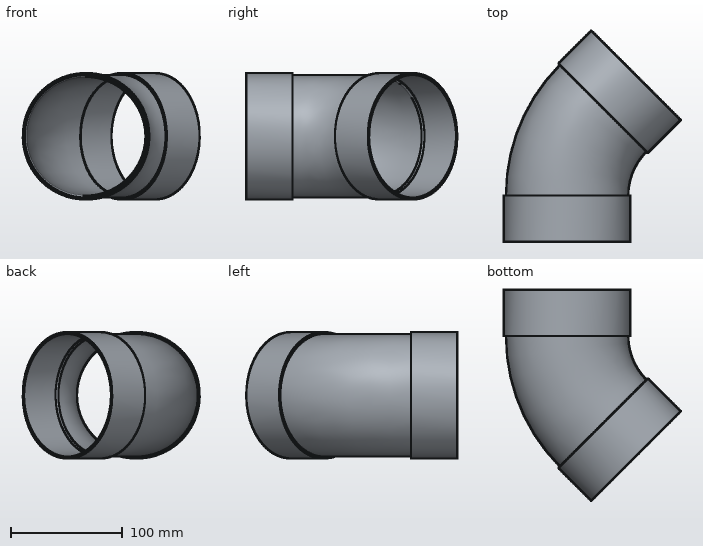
import cadquery as cq
import math

BEND_ANGLE = 45.0
BEND_RADIUS = 110.4
SOCKET_OUTER_DIAMETER = 113.5
SOCKET_BORE_DIAMETER = 110.0
PIPE_OUTER_DIAMETER = 110.0
PIPE_BORE_DIAMETER = 106.4
SOCKET_LENGTH = 41.6

STOP_RADIUS = (SOCKET_BORE_DIAMETER - PIPE_BORE_DIAMETER) / 2

bend_angle_rad = math.radians(BEND_ANGLE)
bend_end = (
    BEND_RADIUS * (1 - math.cos(bend_angle_rad)),
    BEND_RADIUS * math.sin(bend_angle_rad),
    0,
)
end_direction = (math.sin(bend_angle_rad), math.cos(bend_angle_rad), 0)

start_plane = cq.Plane(origin=(0, 0, 0), xDir=(0, 0, 1), normal=(0, -1, 0))
end_plane = cq.Plane(origin=bend_end, xDir=(0, 0, 1), normal=end_direction)
socket_planes = (start_plane, end_plane)


def bend(diameter):
    """Solid round bar swept around the bend center."""
    return (
        cq.Workplane("XZ")
        .circle(diameter / 2)
        .revolve(BEND_ANGLE, (BEND_RADIUS, 0), (BEND_RADIUS, -1))
    )


def socket_body(plane):
    """Solid collar standing on one end of the bend."""
    return cq.Workplane(plane).circle(SOCKET_OUTER_DIAMETER / 2).extrude(SOCKET_LENGTH)


def socket_cavity(plane):
    """Hole that flares from the pipe bore over the rounded stop into the socket bore."""
    pipe_bore_radius = PIPE_BORE_DIAMETER / 2
    socket_bore_radius = SOCKET_BORE_DIAMETER / 2
    arc_middle = (
        socket_bore_radius - STOP_RADIUS * math.cos(math.radians(45)),
        STOP_RADIUS * math.sin(math.radians(45)),
    )
    cavity = (
        cq.Workplane("XZ")
        .lineTo(pipe_bore_radius, 0)
        .threePointArc(arc_middle, (socket_bore_radius, STOP_RADIUS))
        .lineTo(socket_bore_radius, SOCKET_LENGTH)
        .lineTo(0, SOCKET_LENGTH)
        .close()
        .revolve(360, (0, 0), (0, 1))
    )
    return cavity.val().moved(cq.Location(plane))


result = bend(PIPE_OUTER_DIAMETER)
for plane in socket_planes:
    result = result.union(socket_body(plane))

result = result.cut(bend(PIPE_BORE_DIAMETER))
for plane in socket_planes:
    result = result.cut(socket_cavity(plane))